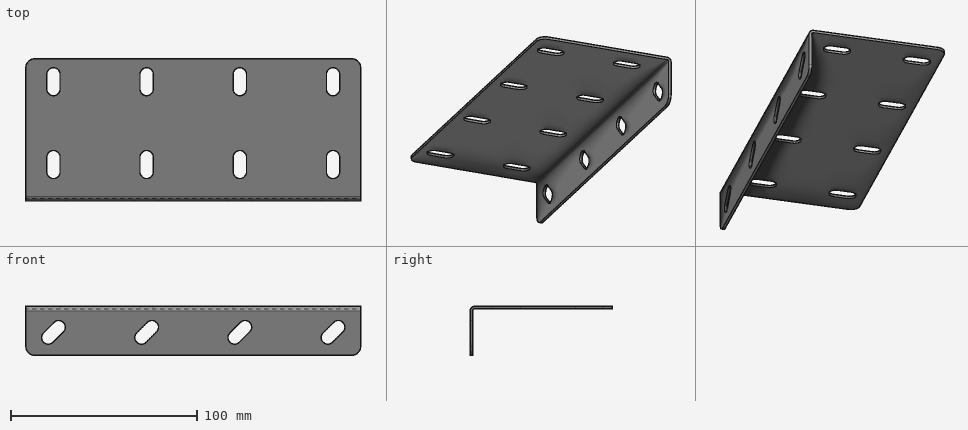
import cadquery as cq

length = 180.0
depth = 76.5
height = 26.5

thickness = 1.5
bend_outer_radius = 2.5
bend_inner_radius = bend_outer_radius - thickness
corner_radius = 5.0

slot_width = 7.0
slot_length = 15.0
slot_pitch = 50.0
slot_columns = 4
back_row_inset = 12.5
row_spacing = 44.5
flange_slot_drop = 14.0
flange_slot_angle = 45

front_y = -depth / 2
back_y = depth / 2
slot_xs = [(i - (slot_columns - 1) / 2) * slot_pitch for i in range(slot_columns)]


def bent_sheet():
    """L-shaped sheet with its bend along the top front edge."""
    profile = (
        cq.Workplane("YZ")
        .moveTo(front_y, 0)
        .lineTo(front_y, height)
        .lineTo(back_y, height)
        .lineTo(back_y, height - thickness)
        .lineTo(front_y + thickness, height - thickness)
        .lineTo(front_y + thickness, 0)
        .close()
        .extrude(length / 2, both=True)
    )
    profile = profile.edges("|X and <Y and >Z").fillet(bend_outer_radius)
    inner_corner = cq.NearestToPointSelector((0, front_y + thickness, height - thickness))
    return profile.edges("|X").edges(inner_corner).fillet(bend_inner_radius)


def round_free_corners(sheet):
    """Round the two free corners of the plate and of the flange."""
    sheet = sheet.edges("|Z and >Y").fillet(corner_radius)
    return sheet.edges("|Y and <Z").fillet(corner_radius)


def plate_slots():
    """Cutters for the two slot rows in the horizontal plate."""
    back_row_y = back_y - back_row_inset
    points = [(x, y) for x in slot_xs for y in (back_row_y, back_row_y - row_spacing)]
    return (
        cq.Workplane("XY", origin=(0, 0, height - thickness))
        .pushPoints(points)
        .slot2D(slot_length, slot_width, 90)
        .extrude(thickness)
    )


def flange_slots():
    """Cutters for the slanted slots in the vertical flange."""
    slot_z = height - flange_slot_drop
    return (
        cq.Workplane("XZ", origin=(0, front_y + thickness, 0))
        .pushPoints([(x, slot_z) for x in slot_xs])
        .slot2D(slot_length, slot_width, flange_slot_angle)
        .extrude(thickness)
    )


result = round_free_corners(bent_sheet()).cut(plate_slots()).cut(flange_slots())